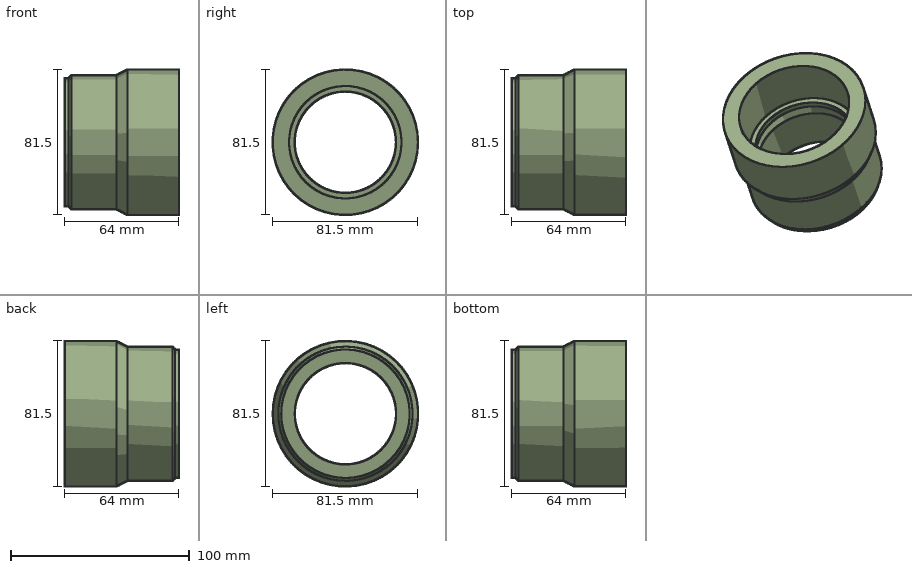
import cadquery as cq

length = 64.0
lip_end = 2.1
chamfer_end = 3.7
spigot_end = 28.85
shoulder_end = 35.1
flare_start = 25.5
stop_ring_start = 31.7
stop_ring_end = shoulder_end

body_radius = 40.75
spigot_radius = 37.6
lip_radius = 35.95
wall = 9.3
bore_radius = spigot_radius - wall
socket_radius = body_radius - wall


def revolve_about_x(points):
    """Revolve a closed (axial, radial) outline about the X axis."""
    return cq.Workplane("XY").polyline(points).close().revolve(360, (0, 0, 0), (1, 0, 0))


outside = revolve_about_x(
    [
        (0, 0),
        (0, lip_radius),
        (lip_end, lip_radius),
        (chamfer_end, spigot_radius),
        (spigot_end, spigot_radius),
        (shoulder_end, body_radius),
        (length, body_radius),
        (length, 0),
    ]
)

passage = revolve_about_x(
    [
        (0, 0),
        (0, bore_radius),
        (flare_start, bore_radius),
        (stop_ring_start, socket_radius),
        (stop_ring_start, bore_radius),
        (stop_ring_end, bore_radius),
        (stop_ring_end, socket_radius),
        (length, socket_radius),
        (length, 0),
    ]
)

result = outside.cut(passage)